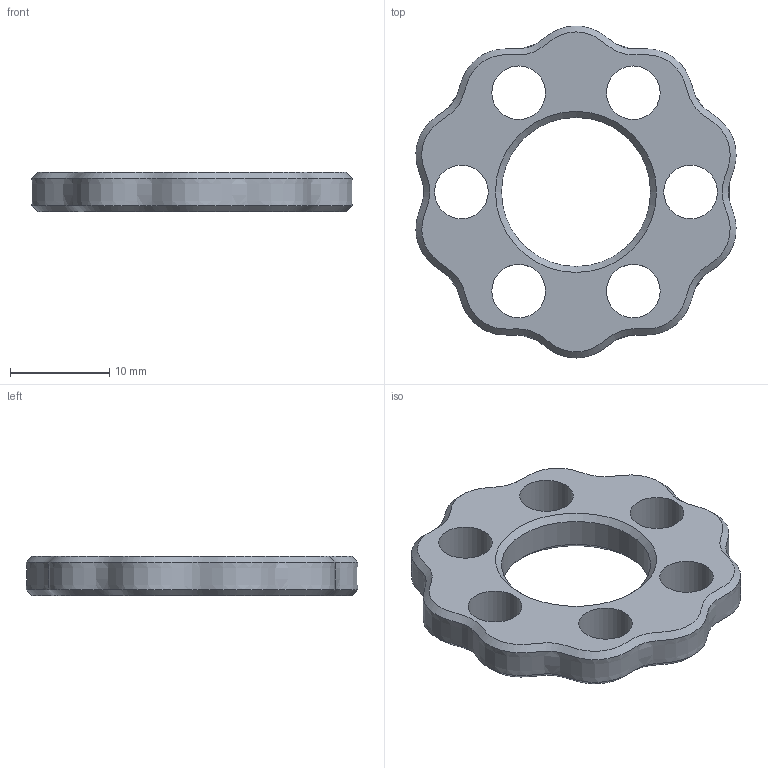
import cadquery as cq
import math

lobe_count = 10
eccentricity = 0.7
ring_pin_count = lobe_count + 1
ring_radius = 17.75
ring_pin_radius = 1.75

thickness = 4.0
chamfer_size = 0.6

bore_diameter = 15.0

output_hole_count = 6
output_pin_diameter = 4.0
output_hole_circle_radius = 11.525
output_hole_diameter = output_pin_diameter + 2 * eccentricity

profile_points_per_lobe = 16


def lobe_profile_point(angle):
    """Point on the curve that the ring pins touch: a trochoid offset inward by the pin radius."""
    trochoid_x = ring_radius * math.cos(angle) - eccentricity * math.cos(ring_pin_count * angle)
    trochoid_y = ring_radius * math.sin(angle) - eccentricity * math.sin(ring_pin_count * angle)

    throw_rate = eccentricity * ring_pin_count
    tangent_x = -ring_radius * math.sin(angle) + throw_rate * math.sin(ring_pin_count * angle)
    tangent_y = ring_radius * math.cos(angle) - throw_rate * math.cos(ring_pin_count * angle)
    tangent_length = math.hypot(tangent_x, tangent_y)

    x = trochoid_x - ring_pin_radius * tangent_y / tangent_length
    y = trochoid_y + ring_pin_radius * tangent_x / tangent_length
    return (x, y)


def make_lobed_body():
    """Lobed plate with a valley on each end of the X axis; the profile starts in the -X valley."""
    point_count = lobe_count * profile_points_per_lobe
    angle_step = 2 * math.pi / point_count
    points = [lobe_profile_point(math.pi + index * angle_step) for index in range(point_count)]
    profile = cq.Workplane("XY").spline(points, periodic=True).close()
    return profile.extrude(thickness)


def cut_bore(body):
    """Central through bore for the eccentric bearing."""
    return body.faces(">Z").workplane().hole(bore_diameter)


def chamfer_rims(body):
    """Chamfer the lobed rim and the bore rim on both faces."""
    return body.faces("<Z or >Z").edges().chamfer(chamfer_size)


def drill_output_holes(body):
    """Ring of plain through holes for the output pins, the first on the +X axis."""
    hole_centres = body.faces(">Z").workplane().polarArray(
        output_hole_circle_radius, 0, 360, output_hole_count
    )
    return hole_centres.hole(output_hole_diameter)


disc = make_lobed_body()
disc = cut_bore(disc)
disc = chamfer_rims(disc)
disc = drill_output_holes(disc)
result = disc.solids()